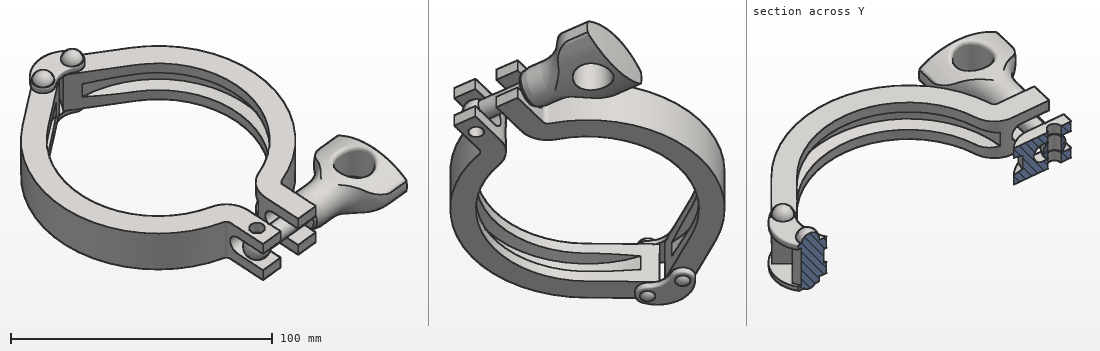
import cadquery as cq
import math


outer_radius = 52.4
band_thickness = 9.8
inner_radius = outer_radius - band_thickness
band_height = 18.9
arm_angle = math.radians(34.8)
arm_end_y = 6.8

lug_end_x = 69.1
lug_inner_y = 4.8
lug_outer_y = lug_inner_y + band_thickness
bend_radius = 2.3
bend_inner_radius = bend_radius + band_thickness
slot_height = 8.5
slot_start_x = 51.8
pin_diameter = 6.0

groove_radius = 47.4
groove_mouth = 9.1
groove_root = 6.7

rivet_x = -53.0
rivet_y = 8.1
plate_thickness = 2.5
plate_end_radius = 4.8
plate_outer_x = -62.2
plate_inner_x = -50.5
plate_rim = 0.7
top_head_radius = 4.4
top_head_height = 3.7
bottom_head_radius = 3.0
bottom_head_height = 1.7

bolt_x = 61.3
bolt_y = -(lug_inner_y + lug_outer_y) / 2
shank_diameter = 8.0
ball_radius = 5.4

collar_diameter = 16.0
collar_radius = collar_diameter / 2
collar_tip_radius = 6.7
collar_lip_radius = 7.4
collar_lip_y = 15.8
collar_round_y = 18.7
neck_y = 25.5
wing_radius = 18.5
shoulder_radius = 11.0
shoulder_y = 45.5
nut_side_y = 54.0
nut_top_y = 54.5
lens_edge_half = 3.4
lens_bevel = 1.0
nut_hole_y = 44.2
nut_hole_radius = 7.8
nut_hole_round = 1.5


def polar(radius, angle):
    """Offset from a centre at the given radius and angle."""
    return (radius * math.cos(angle), radius * math.sin(angle))


def band_outline():
    """Upper half of the band: straight arm, arc, bend and lug."""
    normal = math.pi - arm_angle
    along = (-math.sin(arm_angle), -math.cos(arm_angle))
    outer_tangent = polar(outer_radius, normal)
    inner_tangent = polar(inner_radius, normal)
    arm_length = (outer_tangent[1] - arm_end_y) / math.cos(arm_angle)
    outer_end = (outer_tangent[0] + arm_length * along[0], arm_end_y)
    inner_end = (inner_tangent[0] + arm_length * along[0], inner_tangent[1] + arm_length * along[1])

    bend_y = lug_outer_y + bend_radius
    bend_x = math.sqrt((outer_radius + bend_radius) ** 2 - bend_y ** 2)
    bend_angle = math.atan2(bend_y, bend_x)
    crown = math.pi / 2
    mid_bend = (bend_angle + math.pi + 1.5 * math.pi) / 2

    def bend_point(radius):
        x, y = polar(radius, mid_bend)
        return (bend_x + x, bend_y + y)

    return (
        cq.Workplane("XY", origin=(0, 0, -band_height / 2))
        .moveTo(*outer_end)
        .lineTo(*outer_tangent)
        .threePointArc(polar(outer_radius, crown), polar(outer_radius, bend_angle))
        .threePointArc(bend_point(bend_radius), (bend_x, lug_outer_y))
        .lineTo(lug_end_x, lug_outer_y)
        .lineTo(lug_end_x, lug_inner_y)
        .lineTo(bend_x, lug_inner_y)
        .threePointArc(bend_point(bend_inner_radius), polar(inner_radius, bend_angle))
        .threePointArc(polar(inner_radius, crown), inner_tangent)
        .lineTo(*inner_end)
        .close()
    )


def groove_ring():
    """Ring whose tapered rim cuts the groove."""
    taper = (groove_mouth - groove_root) / 2 / (groove_radius - inner_radius)
    axis_half = groove_root / 2 + taper * groove_radius
    return (
        cq.Workplane("XZ")
        .polyline([
            (0, -axis_half),
            (groove_radius, -groove_root / 2),
            (groove_radius, groove_root / 2),
            (0, axis_half),
        ])
        .close()
        .revolve(360, (0, 0, 0), (0, 1, 0))
    )


def lug_slot():
    """Bolt slot with a round closed end, open at the end of the lug."""
    length = lug_end_x - slot_start_x + slot_height
    return (
        cq.Workplane("XZ")
        .center(slot_start_x + length / 2, 0)
        .slot2D(length, slot_height)
        .extrude(-(lug_outer_y + bend_radius))
    )


def clamp_half():
    """Upper half of the clamp, grooved inside and slotted at its lug."""
    return band_outline().extrude(band_height).cut(groove_ring()).cut(lug_slot())


def link_plate():
    """Curved link lying on the upper face of the band, its top rim rounded."""
    rise = rivet_y ** 2
    outer_gap = rivet_x - plate_end_radius - plate_outer_x
    inner_gap = plate_inner_x - rivet_x
    outer_span = rivet_x - plate_outer_x
    outer_arc = (outer_span ** 2 + rise - plate_end_radius ** 2) / (2 * outer_gap)
    outer_centre = plate_outer_x + outer_arc
    inner_arc = (inner_gap ** 2 + rise - plate_end_radius ** 2) / (2 * (plate_end_radius - inner_gap))
    inner_centre = plate_inner_x + inner_arc
    outer_angle = math.atan2(rivet_y, rivet_x - outer_centre)
    inner_angle = math.atan2(rivet_y, rivet_x - inner_centre)
    outer_x, outer_y = polar(outer_arc, outer_angle)
    inner_x, inner_y = polar(inner_arc, inner_angle)
    outer_x += outer_centre
    inner_x += inner_centre
    tip_x, tip_y = polar(plate_end_radius, math.radians(60))
    return (
        cq.Workplane("XY", origin=(0, 0, band_height / 2))
        .moveTo(outer_x, -outer_y)
        .threePointArc((plate_outer_x, 0), (outer_x, outer_y))
        .threePointArc((rivet_x + tip_x, rivet_y + tip_y), (inner_x, inner_y))
        .threePointArc((plate_inner_x, 0), (inner_x, -inner_y))
        .threePointArc((rivet_x + tip_x, -rivet_y - tip_y), (outer_x, -outer_y))
        .close()
        .extrude(plate_thickness)
        .faces(">Z")
        .edges()
        .fillet(plate_rim)
    )


def rivet_head(base_radius, height):
    """Domed head standing on the upper link plate at the origin of X and Y."""
    sphere_radius = (base_radius ** 2 + height ** 2) / (2 * height)
    shoulder = math.sqrt(sphere_radius ** 2 - (sphere_radius - height / 2) ** 2)
    base_z = band_height / 2 + plate_thickness
    return (
        cq.Workplane("XZ", origin=(0, 0, base_z))
        .lineTo(base_radius, 0)
        .threePointArc((shoulder, height / 2), (0, height))
        .close()
        .revolve(360, (0, 0, 0), (0, 1, 0))
    )


def hinge_side(head_radius, head_height):
    """Link plate with its two rivet heads, for the upper face of the band."""
    side = link_plate()
    head = rivet_head(head_radius, head_height)
    for y in (-rivet_y, rivet_y):
        side = side.union(head.translate((rivet_x, y, 0)))
    return side


def make_hinge_half():
    """Lower half, carrying both link plates and the pin hole for the bolt."""
    pin_hole = (
        cq.Workplane("XY").center(bolt_x, bolt_y).circle(pin_diameter / 2).extrude(band_height, both=True)
    )
    top_link = hinge_side(top_head_radius, top_head_height)
    bottom_link = hinge_side(bottom_head_radius, bottom_head_height).mirror("XY")
    return clamp_half().mirror("XZ").union(top_link).union(bottom_link).cut(pin_hole)


def nut_turning():
    """Wing nut turned about the bolt axis, before the wings are flattened."""
    shoulder_x = wing_radius - shoulder_radius
    rise = shoulder_y - neck_y
    offset = collar_radius - shoulder_x
    neck_radius = (rise ** 2 + offset ** 2 - shoulder_radius ** 2) / (2 * (shoulder_radius - offset))
    neck_x = collar_radius + neck_radius
    join_angle = math.atan2(-rise, neck_x - shoulder_x)
    join_offset_x, join_offset_y = polar(shoulder_radius, join_angle)
    join = (shoulder_x + join_offset_x, shoulder_y + join_offset_y)
    shoulder_mid_x, shoulder_mid_y = polar(shoulder_radius, join_angle / 2)
    neck_mid_x, neck_mid_y = polar(neck_radius, math.pi + join_angle / 2)
    top_radius = (wing_radius ** 2 + (nut_top_y - nut_side_y) ** 2) / (2 * (nut_top_y - nut_side_y))
    top_mid_y = nut_top_y - top_radius + math.sqrt(top_radius ** 2 - (wing_radius / 2) ** 2)
    return (
        cq.Workplane("XY")
        .moveTo(0, lug_outer_y)
        .lineTo(collar_tip_radius, lug_outer_y)
        .lineTo(collar_lip_radius, collar_lip_y)
        .lineTo(collar_radius, collar_round_y)
        .lineTo(collar_radius, neck_y)
        .threePointArc((neck_x + neck_mid_x, neck_y + neck_mid_y), join)
        .threePointArc((shoulder_x + shoulder_mid_x, shoulder_y + shoulder_mid_y), (wing_radius, shoulder_y))
        .lineTo(wing_radius, nut_side_y)
        .threePointArc((wing_radius / 2, top_mid_y), (0, nut_top_y))
        .close()
        .revolve(360, (0, 0, 0), (0, 1, 0))
    )


def nut_lens():
    """Lens section along the bolt axis, bevelled at its tips, that flattens the wings."""
    edge_x = wing_radius - lens_bevel
    tip_half = lens_edge_half - lens_bevel
    return (
        cq.Workplane("XZ")
        .moveTo(-edge_x, -lens_edge_half)
        .threePointArc((0, -collar_radius), (edge_x, -lens_edge_half))
        .lineTo(wing_radius, -tip_half)
        .lineTo(wing_radius, tip_half)
        .lineTo(edge_x, lens_edge_half)
        .threePointArc((0, collar_radius), (-edge_x, lens_edge_half))
        .lineTo(-wing_radius, tip_half)
        .lineTo(-wing_radius, -tip_half)
        .close()
        .extrude(-2 * nut_top_y)
    )


def wing_nut():
    """Wing nut with a cross hole whose upper rim is rounded."""
    nut = nut_turning().intersect(nut_lens())
    hole = (
        cq.Workplane("XY").center(0, nut_hole_y).circle(nut_hole_radius).extrude(wing_radius, both=True)
    )
    upper_rim = cq.selectors.BoxSelector(
        (-wing_radius / 2, nut_hole_y - wing_radius / 2, lens_edge_half),
        (wing_radius / 2, nut_hole_y + wing_radius / 2, wing_radius),
    )
    return nut.cut(hole).edges(upper_rim).edges("%BSPLINE").fillet(nut_hole_round)


def make_swing_bolt():
    """Bolt with a flattened ball eye at one end and its wing nut at the other."""
    shank = (
        cq.Workplane("XZ", origin=(0, bolt_y, 0))
        .circle(shank_diameter / 2)
        .extrude(bolt_y - neck_y)
    )
    flats = cq.Workplane("XY").box(2 * wing_radius, 2 * wing_radius, shank_diameter)
    ball = cq.Workplane("XY").sphere(ball_radius).intersect(flats).translate((0, bolt_y, 0))
    eye_hole = (
        cq.Workplane("XY").center(0, bolt_y).circle(pin_diameter / 2).extrude(ball_radius, both=True)
    )
    bolt = shank.union(ball).cut(eye_hole).union(wing_nut())
    return bolt.translate((bolt_x, 0, 0))


plain_half = clamp_half()
hinge_half = make_hinge_half()
swing_bolt = make_swing_bolt()

result = cq.Compound.makeCompound([plain_half.val(), hinge_half.val(), swing_bolt.val()])